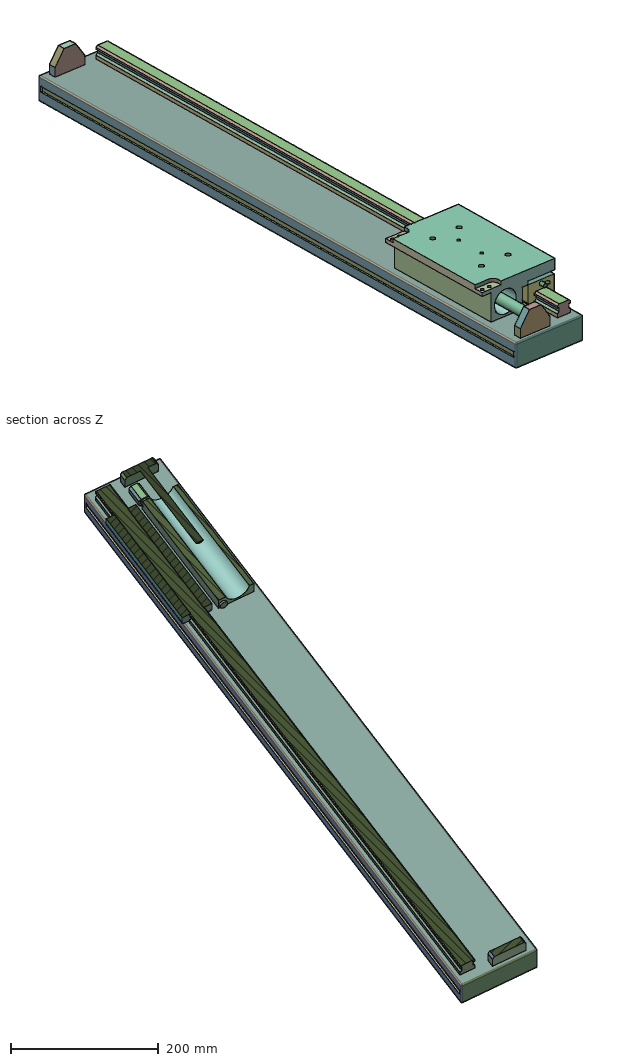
import cadquery as cq


BASE_LENGTH = 986.0
BASE_WIDTH = 120.0
BASE_HEIGHT = 39.0
BASE_EDGE_RADIUS = 2.0
GROOVE_BOTTOM = 16.0
GROOVE_TOP = 25.0
GROOVE_DEPTH = 3.0
GROOVE_END_GAP = 5.0

RAIL_LENGTH = 952.0
RAIL_Y = 40.0
RAIL_WIDTH = 24.0
RAIL_HEIGHT = 21.0
RAIL_WAIST_WIDTH = 18.0
RAIL_WAIST_TOP = 15.0
RAIL_WAIST_BOTTOM = 9.0
RAIL_FOOT_TOP = 6.0
RAIL_HEAD_EDGE = 18.0
RAIL_HEAD_CHAMFER = 3.0

CARRIAGE_X = 329.0
CARRIAGE_LENGTH = 199.0
CARRIAGE_WIDTH = 130.0
CARRIAGE_TOP = 99.0
PLATE_BOTTOM = 87.0
FLANGE_BOTTOM = 75.0
HOUSING_BACK_Y = 7.0
HOUSING_FRONT_Y = -49.0
HOUSING_BOTTOM = 41.0

ROD_Y = -24.0
ROD_Z = 64.0
ROD_DIAMETER = 17.0
BORE_DIAMETER = 38.0

MOUNT_HOLE_DIAMETER = 8.0
MOUNT_SPACING_X = 101.0
MOUNT_SPACING_Y = 47.0
DOWEL_DIAMETER = 5.0
DOWEL_SPACING = 47.0
TOP_HOLE_DEPTH = 12.0
SIDE_HOLE_DIAMETER = 5.0
SIDE_HOLE_DEPTH = 5.0
SIDE_HOLE_Z = 81.0
SIDE_HOLE_PITCH = 33.0
SIDE_HOLE_PAIR_SPACING = 69.0
SIDE_HOLE_OFFSET = 15.0

POCKET_LENGTH = 15.0
POCKET_WIDTH = 34.0
POCKET_DEPTH = 6.0
POCKET_RADIUS = 9.0
POCKET_HOLE_DIAMETER = 5.0
POCKET_HOLE_END_GAP = 7.0
POCKET_HOLES_Y = (-46.0, -59.0)

GLAND_Z = 47.0
GLAND_NECK_DIAMETER = 12.0
GLAND_NECK_LENGTH = 6.0
GLAND_BODY_LENGTH = 27.0
GLAND_WIDTH = 17.0
GLAND_HEIGHT = 15.0
GLAND_CHAMFER = 3.5
PLUG_LENGTH = 3.0

BLOCK_WIDTH = 47.0
BLOCK_BOTTOM = 44.0
BLOCK_TOP = 81.0
BLOCK_CHAMFER = 2.0
END_CAP_LENGTH = 10.0
NIPPLE_Z = 69.0
NIPPLE_DIAMETER = 6.6
NIPPLE_LENGTH = 9.0
NIPPLE_ARM_DIAMETER = 5.0
NIPPLE_ARM_REACH = 10.0

BRACKET_X = 480.0
BRACKET_THICKNESS = 12.0
BRACKET_Y = -20.0
BRACKET_WIDTH = 53.0
BRACKET_TOP_WIDTH = 21.0
BRACKET_TOP = 78.0
BRACKET_SHOULDER = 54.0

CARRIAGE_START = CARRIAGE_X - CARRIAGE_LENGTH / 2
CARRIAGE_END = CARRIAGE_X + CARRIAGE_LENGTH / 2
CARRIAGE_FRONT_Y = -CARRIAGE_WIDTH / 2
CARRIAGE_BACK_Y = CARRIAGE_WIDTH / 2


def box(x0, x1, y0, y1, z0, z1):
    """Box between two opposite corners."""
    return cq.Workplane("XY").box(x1 - x0, y1 - y0, z1 - z0, centered=False).translate((x0, y0, z0))


def rod_along_x(x0, x1, y, z, diameter):
    """Cylinder parallel to X."""
    return cq.Workplane("YZ", origin=(x0, y, z)).circle(diameter / 2).extrude(x1 - x0)


def make_base():
    """Round-edged bar with a shallow closed groove along each long side."""
    base = box(-BASE_LENGTH / 2, BASE_LENGTH / 2, -BASE_WIDTH / 2, BASE_WIDTH / 2, 0, BASE_HEIGHT)
    base = base.edges().fillet(BASE_EDGE_RADIUS)
    groove_end = BASE_LENGTH / 2 - GROOVE_END_GAP
    groove_floor = BASE_WIDTH / 2 - GROOVE_DEPTH
    groove = box(-groove_end, groove_end, groove_floor, BASE_WIDTH / 2, GROOVE_BOTTOM, GROOVE_TOP)
    return base.cut(groove).cut(groove.mirror("XZ"))


def make_rail():
    """Waisted rail standing on the base."""
    half_profile = [
        (RAIL_WIDTH / 2, 0),
        (RAIL_WIDTH / 2, RAIL_FOOT_TOP),
        (RAIL_WAIST_WIDTH / 2, RAIL_WAIST_BOTTOM),
        (RAIL_WAIST_WIDTH / 2, RAIL_WAIST_TOP),
        (RAIL_WIDTH / 2, RAIL_WAIST_TOP),
        (RAIL_WIDTH / 2, RAIL_HEAD_EDGE),
        (RAIL_WIDTH / 2 - RAIL_HEAD_CHAMFER, RAIL_HEIGHT),
    ]
    other_half = [(-y, z) for y, z in reversed(half_profile)]
    return (
        cq.Workplane("YZ", origin=(-RAIL_LENGTH / 2, RAIL_Y, BASE_HEIGHT))
        .polyline(half_profile + other_half)
        .close()
        .extrude(RAIL_LENGTH)
    )


def make_nipple(face_x, direction):
    """Elbow grease nipple on a block end; direction is the sign of its outward X."""
    tip_x = face_x + direction * NIPPLE_LENGTH
    stem = rod_along_x(face_x, tip_x, RAIL_Y, NIPPLE_Z, NIPPLE_DIAMETER)
    arm_x = tip_x - direction * NIPPLE_LENGTH / 2
    arm = (
        cq.Workplane("XZ", origin=(arm_x, RAIL_Y, NIPPLE_Z))
        .circle(NIPPLE_ARM_DIAMETER / 2)
        .extrude(-NIPPLE_ARM_REACH)
    )
    return stem.union(arm)


def make_block(rail):
    """Bearing block riding on the rail, with lower end caps and a grease nipple at each end."""
    y0 = RAIL_Y - BLOCK_WIDTH / 2
    y1 = RAIL_Y + BLOCK_WIDTH / 2
    block = box(CARRIAGE_START, CARRIAGE_END, y0, y1, BLOCK_BOTTOM, FLANGE_BOTTOM)
    block = block.edges("|X and <Z").chamfer(BLOCK_CHAMFER)
    body_start = CARRIAGE_START + END_CAP_LENGTH
    body_end = CARRIAGE_END - END_CAP_LENGTH
    block = block.union(box(body_start, body_end, y0, y1, FLANGE_BOTTOM, BLOCK_TOP))
    block = block.cut(rail)
    for face_x, direction in ((CARRIAGE_START, -1), (CARRIAGE_END, 1)):
        block = block.union(make_nipple(face_x, direction))
    return block


def make_carriage_body():
    """Top plate with a flange over the block and a bored housing around the rod."""
    profile = [
        (CARRIAGE_FRONT_Y, CARRIAGE_TOP),
        (CARRIAGE_BACK_Y, CARRIAGE_TOP),
        (CARRIAGE_BACK_Y, BLOCK_TOP),
        (RAIL_Y - BLOCK_WIDTH / 2, BLOCK_TOP),
        (RAIL_Y - BLOCK_WIDTH / 2, FLANGE_BOTTOM),
        (HOUSING_BACK_Y, FLANGE_BOTTOM),
        (HOUSING_BACK_Y, HOUSING_BOTTOM),
        (HOUSING_FRONT_Y, HOUSING_BOTTOM),
        (HOUSING_FRONT_Y, PLATE_BOTTOM),
        (CARRIAGE_FRONT_Y, PLATE_BOTTOM),
    ]
    body = (
        cq.Workplane("YZ", origin=(CARRIAGE_START, 0, 0))
        .polyline(profile)
        .close()
        .extrude(CARRIAGE_LENGTH)
    )
    return body.cut(rod_along_x(CARRIAGE_START, CARRIAGE_END, ROD_Y, ROD_Z, BORE_DIAMETER))


def top_holes():
    """Blind mounting and dowel holes in the top face."""
    top = cq.Workplane("XY", origin=(CARRIAGE_X, 0, CARRIAGE_TOP))
    mounts = (
        top.rect(MOUNT_SPACING_X, MOUNT_SPACING_Y, forConstruction=True)
        .vertices()
        .circle(MOUNT_HOLE_DIAMETER / 2)
        .extrude(-TOP_HOLE_DEPTH)
    )
    dowels = (
        top.pushPoints([(-DOWEL_SPACING / 2, 0), (DOWEL_SPACING / 2, 0)])
        .circle(DOWEL_DIAMETER / 2)
        .extrude(-TOP_HOLE_DEPTH)
    )
    return mounts.add(dowels)


def side_holes():
    """Two pairs of blind holes in the -Y face of the housing."""
    pairs_x = CARRIAGE_X + SIDE_HOLE_OFFSET
    points = [
        (pairs_x + pair * SIDE_HOLE_PAIR_SPACING / 2 + side * SIDE_HOLE_PITCH / 2, SIDE_HOLE_Z)
        for pair in (-1, 1)
        for side in (-1, 1)
    ]
    return (
        cq.Workplane("XZ", origin=(0, HOUSING_FRONT_Y, 0))
        .pushPoints(points)
        .circle(SIDE_HOLE_DIAMETER / 2)
        .extrude(-SIDE_HOLE_DEPTH)
    )


def corner_pocket(end_x, inward):
    """Shallow corner pocket with two holes; inward is the X sign towards the carriage centre."""
    inner_x = end_x + inward * POCKET_LENGTH
    inner_y = CARRIAGE_FRONT_Y + POCKET_WIDTH
    floor_z = CARRIAGE_TOP - POCKET_DEPTH
    pocket = box(
        min(end_x, inner_x), max(end_x, inner_x), CARRIAGE_FRONT_Y, inner_y, floor_z, CARRIAGE_TOP
    )
    inner_corner = cq.selectors.NearestToPointSelector((inner_x, inner_y, floor_z))
    pocket = pocket.edges("|Z").edges(inner_corner).fillet(POCKET_RADIUS)
    hole_x = end_x + inward * POCKET_HOLE_END_GAP
    holes = (
        cq.Workplane("XY", origin=(0, 0, PLATE_BOTTOM))
        .pushPoints([(hole_x, y) for y in POCKET_HOLES_Y])
        .circle(POCKET_HOLE_DIAMETER / 2)
        .extrude(CARRIAGE_TOP - PLATE_BOTTOM)
    )
    return pocket.union(holes)


def cable_gland():
    """Round neck and corner-chamfered body on the +X end of the housing."""
    neck_end = CARRIAGE_END + GLAND_NECK_LENGTH
    neck = rod_along_x(CARRIAGE_END, neck_end, 0, GLAND_Z, GLAND_NECK_DIAMETER)
    body = (
        cq.Workplane("YZ", origin=(neck_end, 0, GLAND_Z))
        .rect(GLAND_WIDTH, GLAND_HEIGHT)
        .extrude(GLAND_BODY_LENGTH)
        .edges("|X")
        .chamfer(GLAND_CHAMFER)
    )
    return neck.union(body)


def make_carriage():
    """Carriage with its bored housing, holes, corner pockets, gland and plug."""
    carriage = make_carriage_body()
    for hole in top_holes().vals() + side_holes().vals():
        carriage = carriage.cut(cq.Workplane(hole))
    carriage = carriage.cut(corner_pocket(CARRIAGE_START, 1))
    carriage = carriage.cut(corner_pocket(CARRIAGE_END, -1))
    carriage = carriage.union(cable_gland())
    plug = rod_along_x(
        CARRIAGE_START - PLUG_LENGTH, CARRIAGE_START, 0, GLAND_Z, GLAND_NECK_DIAMETER
    )
    return carriage.union(plug)


def make_bracket(x):
    """Upright end plate with sloped upper corners."""
    outline = [
        (-BRACKET_WIDTH / 2, BASE_HEIGHT),
        (BRACKET_WIDTH / 2, BASE_HEIGHT),
        (BRACKET_WIDTH / 2, BRACKET_SHOULDER),
        (BRACKET_TOP_WIDTH / 2, BRACKET_TOP),
        (-BRACKET_TOP_WIDTH / 2, BRACKET_TOP),
        (-BRACKET_WIDTH / 2, BRACKET_SHOULDER),
    ]
    return (
        cq.Workplane("YZ", origin=(x - BRACKET_THICKNESS / 2, BRACKET_Y, 0))
        .polyline(outline)
        .close()
        .extrude(BRACKET_THICKNESS)
    )


base = make_base()
rail = make_rail()
block = make_block(rail)
carriage = make_carriage()
brackets = [make_bracket(x) for x in (-BRACKET_X, BRACKET_X)]
brackets[1] = brackets[1].union(rod_along_x(CARRIAGE_X, BRACKET_X, ROD_Y, ROD_Z, ROD_DIAMETER))

result = cq.Compound.makeCompound(
    [base.val(), rail.val(), block.val(), carriage.val()] + [bracket.val() for bracket in brackets]
)